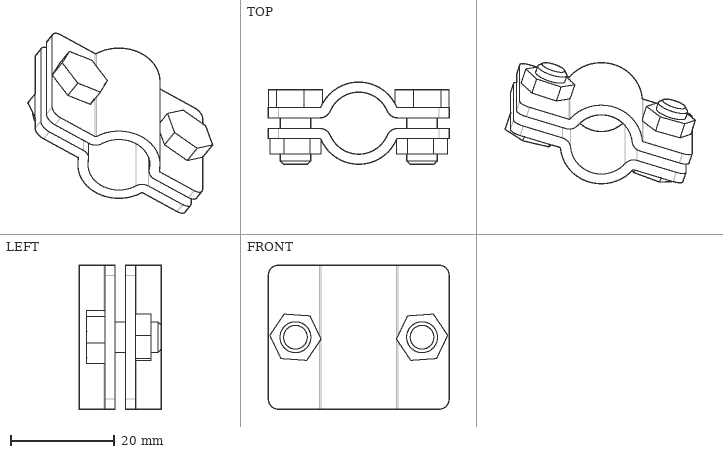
import cadquery as cq
import math

bore_radius = 6.0
sheet_thickness = 2.0
clamp_length = 28.0
flange_width = 10.0
flange_gap = 2.0
corner_radius = 2.0
crease_radius = 0.23

bolt_spacing = 24.57
bolt_diameter = 6.0
bolt_chamfer = 0.7
head_height = 3.5
head_corner_radius = 5.4
head_angle = 12.3
nut_height = 3.0
nut_corner_radius = 5.0
nut_angle = -4.0

shell_radius = bore_radius + sheet_thickness
inner_face = flange_gap / 2
outer_face = inner_face + sheet_thickness
head_top = outer_face + head_height
bend_radius = crease_radius + sheet_thickness
bend_y = outer_face + crease_radius
bend_x = math.sqrt((shell_radius + crease_radius) ** 2 - bend_y ** 2)
half_width = bend_x + flange_width
bolt_tip = -shell_radius


def on_circle(radius, angle, center=(0, 0)):
    """Point on a circle, angle in radians."""
    return center[0] + radius * math.cos(angle), center[1] + radius * math.sin(angle)


def make_clamp_half():
    """Half shell on the +Y side with a rounded flange on each side."""
    bend_angle = math.atan2(bend_y, bend_x)
    right_bend = (bend_x, bend_y)
    left_bend = (-bend_x, bend_y)

    flange_angle = -math.pi / 2
    right_shell_angle = bend_angle - math.pi
    right_mid_angle = (flange_angle + right_shell_angle) / 2
    left_mid_angle = -math.pi - right_mid_angle

    profile = (
        cq.Workplane("XY")
        .moveTo(half_width, inner_face)
        .lineTo(half_width, outer_face)
        .lineTo(bend_x, outer_face)
        .threePointArc(
            on_circle(crease_radius, right_mid_angle, right_bend),
            on_circle(shell_radius, bend_angle),
        )
        .threePointArc((0, shell_radius), on_circle(shell_radius, math.pi - bend_angle))
        .threePointArc(
            on_circle(crease_radius, left_mid_angle, left_bend),
            (-bend_x, outer_face),
        )
        .lineTo(-half_width, outer_face)
        .lineTo(-half_width, inner_face)
        .lineTo(-bend_x, inner_face)
        .threePointArc(
            on_circle(bend_radius, left_mid_angle, left_bend),
            on_circle(bore_radius, math.pi - bend_angle),
        )
        .threePointArc((0, bore_radius), on_circle(bore_radius, bend_angle))
        .threePointArc(
            on_circle(bend_radius, right_mid_angle, right_bend),
            (bend_x, inner_face),
        )
        .close()
    )
    half = profile.extrude(clamp_length / 2, both=True)
    return half.edges("|Y and (<X or >X)").fillet(corner_radius)


def make_hexagon(back_y, height, corner_circle_radius, angle):
    """Hexagonal prism on the Y axis, running from back_y toward -Y."""
    return (
        cq.Workplane("XZ", origin=(0, back_y, 0))
        .polygon(6, 2 * corner_circle_radius)
        .extrude(height)
        .rotate((0, 0, 0), (0, -1, 0), angle)
    )


def make_left_fastener():
    """Bolt and nut through the left flanges."""
    shank = (
        cq.Workplane("XZ", origin=(0, outer_face, 0))
        .circle(bolt_diameter / 2)
        .extrude(outer_face - bolt_tip)
        .faces("<Y")
        .chamfer(bolt_chamfer)
    )
    head = make_hexagon(head_top, head_height, head_corner_radius, head_angle)
    nut = make_hexagon(-outer_face, nut_height, nut_corner_radius, nut_angle)
    fastener = shank.union(head).union(nut)
    return fastener.translate((-bolt_spacing / 2, 0, 0))


back_half = make_clamp_half()
front_half = back_half.mirror("XZ")
left_fastener = make_left_fastener()
right_fastener = left_fastener.mirror("YZ")

result = back_half.union(front_half).union(left_fastener).union(right_fastener)